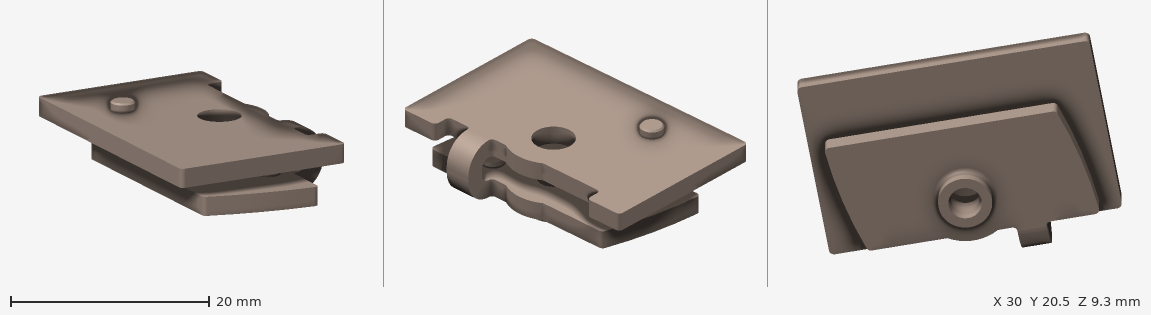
import cadquery as cq
import math

sheet = 2.0
gap = 2.7
corner_radius = 0.5
back_y = 17.0

upper_width = 30
ear_back_y = 19.0
ear_width = 4.5

lower_front_y = 4.95
lower_wide_x = 13.08
lower_narrow_x = 10.7
end_radius = 48

hole_y = 12.72
bulge_radius = 5.0
upper_hole_diameter = 4.5
lower_hole_diameter = 3.4

collar_diameter = 5.45
collar_height = 1.6
collar_fillet = 0.48

bend_left_x = 4.5
bend_width = 3
bend_root_radius = 0.45
bend_start_y = 17.5
bend_inner_radius = 1.0
bend_outer_radius = bend_inner_radius + sheet

pin_diameter = 2.52
upper_pin_height = 1.0
upper_pin_chamfer = 0.18
upper_pin_point = (-6.55, 5.2)
lower_pin_height = 0.5
lower_pin_chamfer = 0.3
lower_pin_points = [(-7.25, 7.25), (6.57, 14.67)]

lower_top_z = sheet
upper_bottom_z = lower_top_z + gap
upper_top_z = upper_bottom_z + sheet


def disc(diameter, height, z, point):
    """Upright cylinder standing on height z."""
    return cq.Workplane("XY", origin=(*point, z)).circle(diameter / 2).extrude(height)


def add_back_details(plate, z):
    """Add the bulge and the filleted stub of the bend to a plate's back edge."""
    stub_length = bend_start_y - back_y
    stub = (
        cq.Workplane("XY", origin=(bend_left_x, back_y - sheet, z))
        .rect(bend_width, sheet + stub_length, centered=False)
        .extrude(sheet)
    )
    plate = plate.union(stub)
    for root_x in (bend_left_x, bend_left_x + bend_width):
        root = cq.selectors.NearestToPointSelector((root_x, back_y, z + sheet / 2))
        plate = plate.edges("|Z").edges(root).fillet(bend_root_radius)
    return plate.union(disc(2 * bulge_radius, sheet, z, (0, hole_y)))


def make_upper_plate():
    half_width = upper_width / 2
    ear_inner_x = half_width - ear_width
    plate = (
        cq.Workplane("XY", origin=(0, 0, upper_bottom_z))
        .polyline([
            (-half_width, 0),
            (half_width, 0),
            (half_width, ear_back_y),
            (ear_inner_x, ear_back_y),
            (ear_inner_x, back_y),
            (-ear_inner_x, back_y),
            (-ear_inner_x, ear_back_y),
            (-half_width, ear_back_y),
        ])
        .close()
        .extrude(sheet)
        .edges("|Z")
        .fillet(corner_radius)
    )
    plate = add_back_details(plate, upper_bottom_z)
    return plate.cut(disc(upper_hole_diameter, sheet, upper_bottom_z, (0, hole_y)))


def make_lower_plate():
    end_chord = math.hypot(lower_wide_x - lower_narrow_x, back_y - lower_front_y)
    end_bulge = end_radius - math.sqrt(end_radius**2 - (end_chord / 2) ** 2)
    plate = (
        cq.Workplane("XY")
        .moveTo(-lower_wide_x, lower_front_y)
        .lineTo(lower_narrow_x, lower_front_y)
        .sagittaArc((lower_wide_x, back_y), -end_bulge)
        .lineTo(-lower_narrow_x, back_y)
        .sagittaArc((-lower_wide_x, lower_front_y), -end_bulge)
        .close()
        .extrude(sheet)
        .edges("|Z")
        .fillet(corner_radius)
    )
    plate = add_back_details(plate, 0)
    collar = disc(collar_diameter, collar_height, -collar_height, (0, hole_y))
    plate = plate.union(collar)
    collar_root = cq.selectors.NearestToPointSelector((0, hole_y, 0))
    plate = plate.edges("%CIRCLE").edges(collar_root).fillet(collar_fillet)
    hole_height = collar_height + sheet
    return plate.cut(disc(lower_hole_diameter, hole_height, -collar_height, (0, hole_y)))


def make_bend():
    """U-shaped strip joining the back edges of the plates."""
    def rounded_bar(radius, bottom_z, height):
        """Bar about the bend axis, rounded on its back side only."""
        return (
            cq.Workplane("YZ", origin=(bend_left_x, 0, 0))
            .moveTo(bend_start_y, bottom_z)
            .radiusArc((bend_start_y + radius, bottom_z + radius), -radius)
            .lineTo(bend_start_y + radius, bottom_z + height - radius)
            .radiusArc((bend_start_y, bottom_z + height), -radius)
            .close()
            .extrude(bend_width)
        )

    outer = rounded_bar(bend_outer_radius, 0, upper_top_z)
    return outer.cut(rounded_bar(bend_inner_radius, lower_top_z, gap))


def make_pin(point, z, height, chamfer):
    return disc(pin_diameter, height, z, point).faces(">Z").chamfer(chamfer)


result = make_upper_plate().union(make_bend()).union(make_lower_plate())
result = result.union(make_pin(upper_pin_point, upper_top_z, upper_pin_height, upper_pin_chamfer))
for pin_point in lower_pin_points:
    result = result.union(make_pin(pin_point, lower_top_z, lower_pin_height, lower_pin_chamfer))